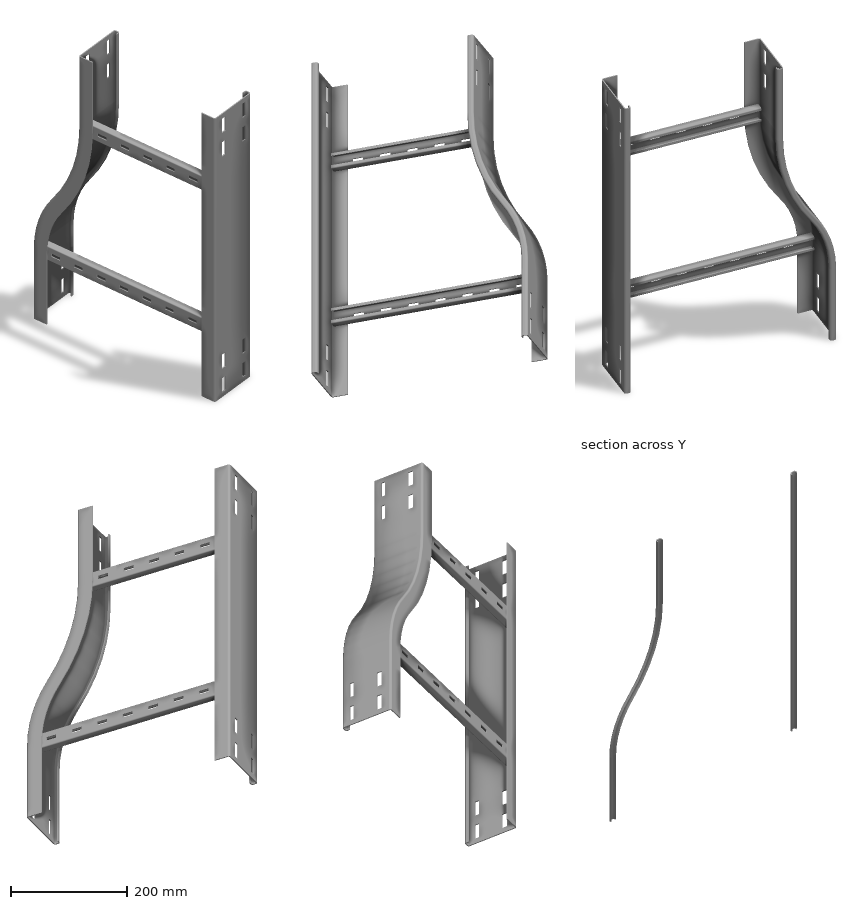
import cadquery as cq

length = 600.0
pitch = length / 12
width = 8 * pitch
depth = 2 * pitch
front = -depth / 2
back = depth / 2

rail_sheet = 2.0
rail_bend_radius = 2 * rail_sheet
rung_sheet = 1.5
rung_bend_radius = 2.0

flange = 30.0
hook_width = 12.0
hook_drop = 8.5

rail_offset = 2 * pitch
bend_start = 3 * pitch
bend_end = 9 * pitch
lower_share = 0.4
upper_share = 1 - lower_share

web_slot_length = 30.0
front_slot_width = 10.0
rear_slot_width = 8.0
front_slot_y = -26.0
rear_slot_y = 30.5
web_slot_levels = [pitch / 2, 3 * pitch / 2, length - 3 * pitch / 2, length - pitch / 2]

rung_height = 30.0
rung_depth = 15.0
rung_lip = 6.0
rung_gap = 5.5
rung_slot_length = 19.0
rung_slot_height = 6.5
lower_slot_shift = -2.0


def bent_sheet_profile(outside, sheet, bend_radius):
    """Section of a sheet whose right-angle bends all turn left along its outside points."""
    normals = []
    for (x0, y0), (x1, y1) in zip(outside, outside[1:]):
        run = abs(x1 - x0) + abs(y1 - y0)
        normals.append(((y0 - y1) / run, (x1 - x0) / run))

    def shifted(point, *directions):
        return (
            point[0] + sheet * sum(d[0] for d in directions),
            point[1] + sheet * sum(d[1] for d in directions),
        )

    outer_corners = outside[1:-1]
    inner_corners = [
        shifted(point, before, after) for point, before, after in zip(outer_corners, normals, normals[1:])
    ]
    inside = [shifted(outside[0], normals[0]), *inner_corners, shifted(outside[-1], normals[-1])]

    outline = [cq.Vector(x, y) for x, y in [*outside, *reversed(inside)]]
    profile = cq.Sketch().face(cq.Wire.makePolygon(outline, close=True))
    for corners, radius in ((outer_corners, bend_radius), (inner_corners, bend_radius - sheet)):
        for x, y in corners:
            profile = profile.reset().vertices(cq.NearestToPointSelector((x, y, 0))).fillet(radius)
    return profile.reset()


def rail_profile():
    """Rail section with the outer face of its web on x = 0 and its flanges toward +X."""
    return bent_sheet_profile(
        [
            (hook_width, back - hook_drop),
            (hook_width, back),
            (0, back),
            (0, front),
            (flange, front),
        ],
        rail_sheet,
        rail_bend_radius,
    )


def web_slots(x, levels):
    """Cutters for both rows of slots through a web whose outer face is at x."""
    cut_depth = 4 * rail_sheet
    cutters = cq.Workplane()
    for y, slot_width in ((front_slot_y, front_slot_width), (rear_slot_y, rear_slot_width)):
        for z in levels:
            cutters = cutters.add(
                cq.Workplane().box(cut_depth, slot_width, web_slot_length).translate((x, y, z))
            )
    return cutters.combine()


def straight_rail():
    """Right rail, its outer web face on x = width."""
    rail = cq.Workplane().placeSketch(rail_profile()).extrude(length)
    rail = rail.mirror("YZ").translate((width, 0, 0))
    return rail.cut(web_slots(width, web_slot_levels))


def offset_rail():
    """Left rail, shifted toward +X by two tangent arcs between its straight ends."""
    bend_height = bend_end - bend_start
    path = (
        cq.Workplane("XZ")
        .lineTo(0, bend_start)
        .tangentArcPoint((lower_share * rail_offset, lower_share * bend_height))
        .tangentArcPoint((upper_share * rail_offset, upper_share * bend_height))
        .lineTo(rail_offset, length)
    )
    rail = cq.Workplane().placeSketch(rail_profile()).sweep(path)
    rail = rail.cut(web_slots(0, web_slot_levels[:2]))
    return rail.cut(web_slots(rail_offset, web_slot_levels[2:]))


def rung(left_face, level, slot_count, slot_shift=0):
    """C-channel from the left rail's outer web face at x = left_face to the right rail."""
    start = left_face + rung_gap
    span = width - rung_gap - start
    face = front + rail_sheet
    rear = face + rung_depth
    top = level + rung_height / 2
    bottom = level - rung_height / 2
    profile = bent_sheet_profile(
        [
            (rear, top - rung_lip),
            (rear, top),
            (face, top),
            (face, bottom),
            (rear, bottom),
            (rear, bottom + rung_lip),
        ],
        rung_sheet,
        rung_bend_radius,
    )
    channel = cq.Workplane("YZ", origin=(start, 0, 0)).placeSketch(profile).extrude(span)
    slot_center = (left_face + width) / 2 + slot_shift
    slots = (
        cq.Workplane("XZ", origin=(slot_center, face, level))
        .rarray(pitch, 6, slot_count, 1)
        .rect(rung_slot_length, rung_slot_height)
        .extrude(2 * rung_sheet, both=True)
    )
    return channel.cut(slots)


left_rail = offset_rail()
right_rail = straight_rail()
lower_rung = rung(0, bend_start, 7, lower_slot_shift)
upper_rung = rung(rail_offset, bend_end, 5)

result = cq.Compound.makeCompound(
    [left_rail.val(), right_rail.val(), lower_rung.val(), upper_rung.val()]
)